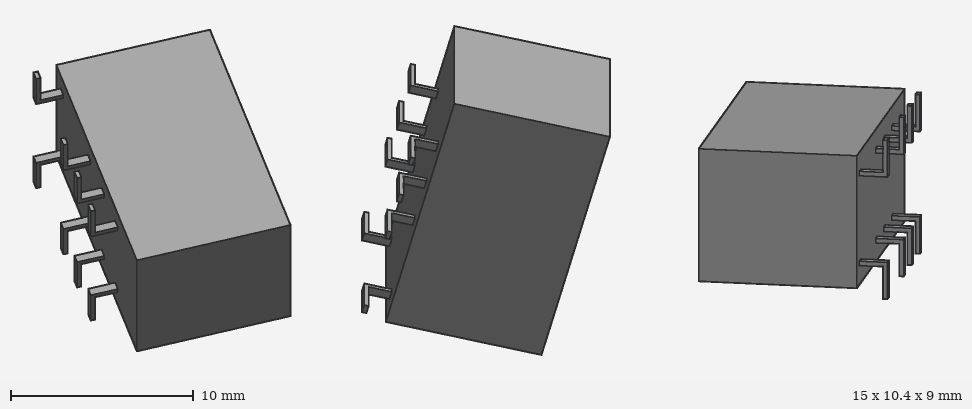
import cadquery as cq

body_length = 15.0
body_depth = 8.805
body_height = 7.5

overall_depth = 10.36
overall_height = 9.0

pin_width = 0.5
pin_thickness = 0.254
pin_pitch = 2.54
pin_steps = (0, 2, 3, 4)
first_pin_inset = 1.05
row_spacing = 2 * pin_pitch

pin_reach = overall_depth - body_depth
front_y = -body_depth / 2
tip_y = front_y - pin_reach
inner_z = (row_spacing - pin_thickness) / 2
outer_z = overall_height / 2


def make_body():
    return cq.Workplane("XY").box(body_length, body_depth, body_height)


def make_upper_pin(center_x):
    """L-shaped terminal leaving the front face and turning up."""
    outline = [
        (front_y, inner_z),
        (tip_y, inner_z),
        (tip_y, outer_z),
        (tip_y + pin_thickness, outer_z),
        (tip_y + pin_thickness, inner_z + pin_thickness),
        (front_y, inner_z + pin_thickness),
    ]
    return (
        cq.Workplane("YZ", origin=(center_x, 0, 0))
        .polyline(outline)
        .close()
        .extrude(pin_width / 2, both=True)
    )


result = make_body()
for step in pin_steps:
    pin_x = -body_length / 2 + first_pin_inset + step * pin_pitch
    upper_pin = make_upper_pin(pin_x)
    lower_pin = upper_pin.mirror("XY")
    result = result.union(upper_pin).union(lower_pin)